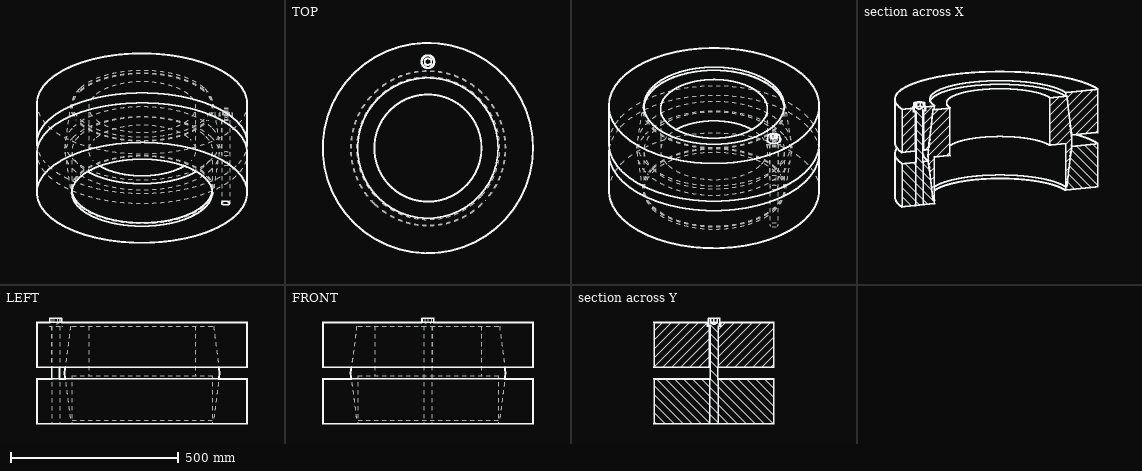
import cadquery as cq

disc_diameter = 630.0
disc_height = 135.0
disc_gap = 34.0
stack_height = 2 * disc_height + disc_gap

bore_diameter = 320.0
ring_end_diameter = 428.5
opening_diameter = 420.0
bore_step_z = 144.0
ring_mid_diameter = 465.0
ring_end_recess = 11.5
mid_z = stack_height / 2
ring_bottom_z = ring_end_recess
ring_top_z = stack_height - ring_end_recess

screw_y = 258.0
socket_sides = 6
socket_turn = 30
shank_diameter = 24.0
head_diameter = 36.0
head_height = 24.0
head_projection = 12.5
head_fillet = 2.5
socket_corner_diameter = 22.0
socket_depth = 12.0
socket_tip_depth = 6.0
clearance_diameter = 26.0
counterbore_diameter = 40.0
counterbore_depth = head_height - head_projection
head_seat_z = stack_height - counterbore_depth
head_top_z = head_seat_z + head_height
upper_disc_z = disc_height + disc_gap


def cylinder(diameter, bottom_z, height, y=0.0):
    """Vertical cylinder standing on bottom_z."""
    return cq.Workplane("XY", origin=(0, y, bottom_z)).circle(diameter / 2).extrude(height)


def make_double_cone():
    """Solid double cone, widest at the mid plane."""
    outline = [
        (0, ring_bottom_z),
        (ring_end_diameter / 2, ring_bottom_z),
        (ring_mid_diameter / 2, mid_z),
        (ring_end_diameter / 2, ring_top_z),
        (0, ring_top_z),
    ]
    return cq.Workplane("XZ").polyline(outline).close().revolve(360, (0, 0, 0), (0, 1, 0))


def make_disc_blank(bottom_z):
    """Disc with a tapered seat and a straight opening narrower than the ring end."""
    blank = cylinder(disc_diameter, bottom_z, disc_height)
    opening = cylinder(opening_diameter, bottom_z, disc_height)
    return blank.cut(opening).cut(make_double_cone())


def make_upper_disc():
    """Upper disc with a counterbored clearance hole for the screw."""
    clearance_hole = cylinder(clearance_diameter, upper_disc_z, disc_height, screw_y)
    counterbore = cylinder(counterbore_diameter, head_seat_z, counterbore_depth, screw_y)
    return make_disc_blank(upper_disc_z).cut(clearance_hole).cut(counterbore)


def make_lower_disc():
    """Lower disc with a through hole that fits the screw shank."""
    screw_hole = cylinder(shank_diameter, 0, disc_height, screw_y)
    return make_disc_blank(0).cut(screw_hole)


def make_inner_ring():
    """Double-cone ring whose bore widens below the step to match the disc opening."""
    bore = cylinder(bore_diameter, 0, stack_height)
    wide_bore = cylinder(opening_diameter, 0, bore_step_z)
    return make_double_cone().cut(bore).cut(wide_bore)


def make_screw():
    """Screw with a rounded head and a hexagon socket ending in a conical tip."""
    shank = cylinder(shank_diameter, 0, head_seat_z, screw_y)
    head = cylinder(head_diameter, head_seat_z, head_height, screw_y)
    head = head.faces(">Z").edges().fillet(head_fillet)
    socket_floor_z = head_top_z - socket_depth
    tip_z = socket_floor_z - socket_tip_depth
    socket = (
        cq.Workplane("XY", origin=(0, screw_y, tip_z))
        .transformed(rotate=(0, 0, socket_turn))
        .polygon(socket_sides, socket_corner_diameter)
        .extrude(head_top_z - tip_z)
    )
    corner_radius = socket_corner_diameter / 2
    tip_outline = [
        (0, tip_z),
        (corner_radius, socket_floor_z),
        (corner_radius, head_top_z),
        (0, head_top_z),
    ]
    pointed_bore = (
        cq.Workplane("XZ", origin=(0, screw_y, 0))
        .polyline(tip_outline)
        .close()
        .revolve(360, (0, 0, 0), (0, 1, 0))
    )
    return shank.union(head).cut(socket.intersect(pointed_bore))


upper_disc = make_upper_disc()
lower_disc = make_lower_disc()
inner_ring = make_inner_ring()
screw = make_screw()

result = cq.Compound.makeCompound(
    [upper_disc.val(), lower_disc.val(), inner_ring.val(), screw.val()]
)